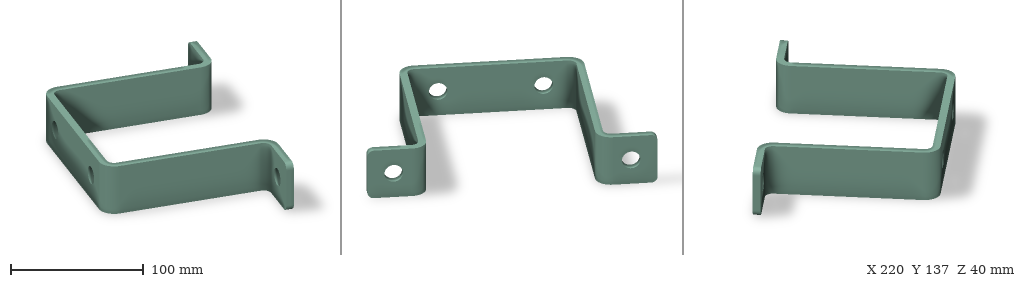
import cadquery as cq

overall_width = 220.0
overall_depth = 137.0
strip_height = 40.0
thickness = 6.0
channel_width = 140.0
inner_bend_radius = 6.0
flange_corner_radius = 5.0
hole_diameter = 14.0
flange_hole_spacing = 180.0
web_hole_spacing = 80.0

outer_bend_radius = inner_bend_radius + thickness
flange_tip = overall_width / 2
leg_outside = channel_width / 2
leg_inside = leg_outside - thickness
web_front = -overall_depth / 2
web_back = web_front + thickness
flange_back = overall_depth / 2
flange_front = flange_back - thickness


def bent_strip():
    """Hat-shaped strip: sharp outline extruded in Z, then its bends rounded."""
    outline = [
        (-flange_tip, flange_back),
        (-leg_inside, flange_back),
        (-leg_inside, web_back),
        (leg_inside, web_back),
        (leg_inside, flange_back),
        (flange_tip, flange_back),
        (flange_tip, flange_front),
        (leg_outside, flange_front),
        (leg_outside, web_front),
        (-leg_outside, web_front),
        (-leg_outside, flange_front),
        (-flange_tip, flange_front),
    ]
    strip = (
        cq.Workplane("XY")
        .workplane(offset=-strip_height / 2)
        .polyline(outline)
        .close()
        .extrude(strip_height)
    )
    inner_bends = [
        (leg_outside, flange_front),
        (leg_inside, web_back),
    ]
    outer_bends = [
        (leg_inside, flange_back),
        (leg_outside, web_front),
    ]
    strip = round_bends(strip, inner_bends, inner_bend_radius)
    return round_bends(strip, outer_bends, outer_bend_radius)


def round_bends(body, corners, radius):
    """Fillet the vertical edges at the given corners and their mirror images in X."""
    for x, y in corners:
        for side in (-1, 1):
            edge = cq.selectors.NearestToPointSelector((side * x, y, 0))
            body = body.edges("|Z").edges(edge).fillet(radius)
    return body


def round_flange_corners(body):
    """Round the corners at the free end of each flange."""
    for end in ("<X", ">X"):
        body = body.faces(end).edges("|Y").fillet(flange_corner_radius)
    return body


def hole_pair(spacing, front):
    """Two cutters along Y, one wall thickness long, starting at the given wall face."""
    return (
        cq.Workplane("XZ", origin=(0, front, 0))
        .pushPoints([(-spacing / 2, 0), (spacing / 2, 0)])
        .circle(hole_diameter / 2)
        .extrude(-thickness)
    )


result = round_flange_corners(bent_strip())
result = result.cut(hole_pair(flange_hole_spacing, flange_front))
result = result.cut(hole_pair(web_hole_spacing, web_front))